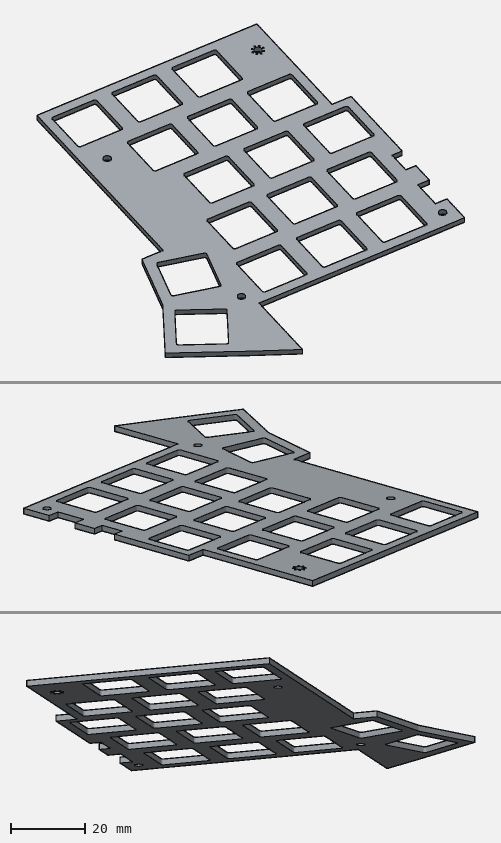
import cadquery as cq
import math

thickness = 1.7
plate_length = 118.4
plate_depth = 97.5

field_depth = 70.0
field_right = 96.2
shoulder_left = 38.4
shoulder_rise = 6.0
plate_top = field_depth + shoulder_rise
plate_bottom = plate_top - plate_depth

inner_thumb_tilt = 15.0
outer_thumb_tilt = 30.0
thumb_left = 64.4
thumb_shelf = 10.7
outer_thumb_edge = 19.5
side_bend = (111.6, -1.4)

notches = [(64.4, 7.0, 3.2), (78.2, 9.0, 3.7)]

cutout_size = 14.1
cutout_corner_radius = 0.6
key_pitch = 19.0
rows = 3
first_column_x = 10.0
first_column_y = 9.8
column_staggers = [0.0, 12.1, 18.1, 13.6, 11.1]
thumb_keys = [
    (76.3, 0.7, inner_thumb_tilt),
    (96.2, -7.6, outer_thumb_tilt),
]

screw_diameter = 2.2
plain_screws = [(91.3, 72.1), (91.4, 8.0), (24.9, 6.9)]
ringed_screw = (9.1, 64.6)

via_diameter = 0.4
via_count = 8
via_circle_radius = 1.7


def plate_blank():
    """Flat plate whose thumb field edges follow the tilts of the two thumb keys."""
    inner_tilt = math.radians(inner_thumb_tilt)
    outer_tilt = math.radians(outer_thumb_tilt)
    tip_x = side_bend[0] - (side_bend[1] - plate_bottom) * math.tan(outer_tilt)
    elbow_x = tip_x - outer_thumb_edge * math.cos(outer_tilt)
    elbow_y = plate_bottom + outer_thumb_edge * math.sin(outer_tilt)
    thumb_left_y = elbow_y + (elbow_x - thumb_left) * math.tan(inner_tilt)
    outline = [
        (0, 0),
        (thumb_left, 0),
        (thumb_left, thumb_left_y),
        (elbow_x, elbow_y),
        (tip_x, plate_bottom),
        side_bend,
        (plate_length, thumb_shelf),
        (field_right, thumb_shelf),
        (field_right, plate_top),
        (shoulder_left, plate_top),
        (shoulder_left, field_depth),
        (0, field_depth),
    ]
    return cq.Workplane("XY").polyline(outline).close().extrude(thickness)


def notch(left, width, depth):
    """Block that opens a notch downward from the top edge."""
    return (
        cq.Workplane("XY")
        .box(width, depth, thickness, centered=False)
        .translate((left, plate_top - depth, 0))
    )


def switch_cutout(x, y, tilt=0.0):
    """Round-cornered square through the plate, turned clockwise by tilt degrees."""
    return (
        cq.Workplane("XY")
        .rect(cutout_size, cutout_size)
        .extrude(thickness)
        .edges("|Z")
        .fillet(cutout_corner_radius)
        .rotate((0, 0, 0), (0, 0, 1), -tilt)
        .translate((x, y, 0))
    )


def round_holes(centers, diameter):
    """Cylinders through the plate, one at each center."""
    return cq.Workplane("XY").pushPoints(centers).circle(diameter / 2).extrude(thickness)


def via_centers():
    """Evenly spaced points on the circle around the ringed screw hole."""
    screw_x, screw_y = ringed_screw
    angles = [2 * math.pi * i / via_count for i in range(via_count)]
    return [
        (screw_x + via_circle_radius * math.cos(angle), screw_y + via_circle_radius * math.sin(angle))
        for angle in angles
    ]


result = plate_blank()

for left, width, depth in notches:
    result = result.cut(notch(left, width, depth))

for column, stagger in enumerate(column_staggers):
    for row in range(rows):
        key_x = first_column_x + column * key_pitch
        key_y = first_column_y + stagger + row * key_pitch
        result = result.cut(switch_cutout(key_x, key_y))

for key_x, key_y, tilt in thumb_keys:
    result = result.cut(switch_cutout(key_x, key_y, tilt))

result = result.cut(round_holes(plain_screws + [ringed_screw], screw_diameter))

result = result.cut(round_holes(via_centers(), via_diameter))